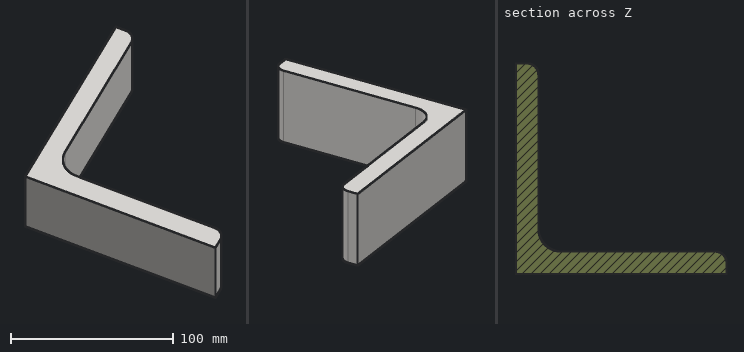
import cadquery as cq

leg_length = 130.0
leg_thickness = 14.0
bar_length = 50.0
root_radius = 14.0
toe_radius = 7.0


def angle_bar():
    """Sharp-cornered L section with its heel at the origin."""
    return (
        cq.Workplane("XY")
        .moveTo(0, 0)
        .lineTo(leg_length, 0)
        .lineTo(leg_length, leg_thickness)
        .lineTo(leg_thickness, leg_thickness)
        .lineTo(leg_thickness, leg_length)
        .lineTo(0, leg_length)
        .close()
        .extrude(bar_length)
    )


def round_vertical_edge(body, x, y, radius):
    """Fillet the vertical edge closest to the point (x, y)."""
    edge_middle = cq.NearestToPointSelector((x, y, bar_length / 2))
    return body.edges("|Z").edges(edge_middle).fillet(radius)


result = angle_bar()

result = round_vertical_edge(result, leg_thickness, leg_thickness, root_radius)

for toe_x, toe_y in [(leg_length, leg_thickness), (leg_thickness, leg_length)]:
    result = round_vertical_edge(result, toe_x, toe_y, toe_radius)